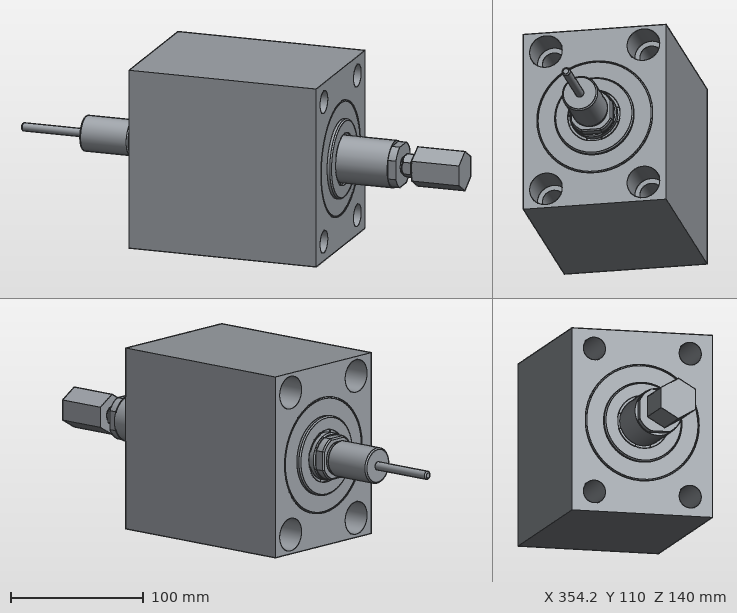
import cadquery as cq
import math


HOUSING_LENGTH = 150.0
HOUSING_WIDTH = 110.0
HOUSING_HEIGHT = 140.0
BOLT_SPACING_Y = 75.0
BOLT_SPACING_Z = 109.8
BOLT_HOLE_DIAMETER = 17.5
COUNTERBORE_DIAMETER = 25.0
COUNTERBORE_DEPTH = 28.5

GLAND_DIAMETER = 89.3
GLAND_DEPTH = 17.7
GLAND_CHAMFER = 1.0
FLANGE_DIAMETER = 61.0
FLANGE_HEIGHT = 3.2
FLANGE_CHAMFER = 1.0
WIPER_DIAMETER = 40.5
WIPER_DEPTH = 1.0
WIPER_SLOT_WIDTH = 11.7
WIPER_SLOT_DEPTH = 2.0

ROD_DIAMETER = 36.0
ROD_LEFT_EXTENSION = 6.7
ROD_RIGHT_EXTENSION = 43.5
COLLAR_CHAMFER = 1.0
FLATS_DIAMETER = 35.0
ACROSS_FLATS = 32.0
LEFT_FLATS_LENGTH = 7.5
RIGHT_FLATS_LENGTH = 6.5
FLATS_CHAMFER = 1.0
UNDERCUT_DIAMETER = 25.5
UNDERCUT_LENGTH = 1.8
THREAD_DIAMETER = 27.3
THREAD_LENGTH = 38.5
THREAD_CHAMFER = 1.0

PIN_DIAMETER = 6.5
PIN_PROTRUSION = 50.3
PIN_CHAMFER = 1.0
FITTING_NECK_DIAMETER = 12.8
LEFT_NECK_LENGTH = 1.5
SMALL_HEX_ACROSS_FLATS = 16.0
SMALL_HEX_LENGTH = 7.5
SMALL_HEX_CHAMFER = 1.8
COUPLING_ACROSS_FLATS = 27.0
COUPLING_LENGTH = 38.0

TOTAL_LENGTH = 354.2

left_flats_start = -ROD_LEFT_EXTENSION - LEFT_FLATS_LENGTH
undercut_start = left_flats_start - UNDERCUT_LENGTH
rod_left_end = undercut_start - THREAD_LENGTH
right_flats_start = HOUSING_LENGTH + ROD_RIGHT_EXTENSION
rod_right_end = right_flats_start + RIGHT_FLATS_LENGTH
pin_left_end = rod_left_end - PIN_PROTRUSION
small_hex_start = rod_right_end + LEFT_NECK_LENGTH
fitting_right_end = pin_left_end + TOTAL_LENGTH
coupling_start = fitting_right_end - COUPLING_LENGTH


def cylinder(start, end, diameter):
    """Round bar along X between two positions."""
    return cq.Workplane("YZ", origin=(start, 0, 0)).circle(diameter / 2).extrude(end - start)


def across_corners(across_flats):
    """Corner-to-corner size of a hexagon."""
    return across_flats / math.cos(math.pi / 6)


def hexagon(start, end, across_flats):
    """Hexagonal bar along X with corners pointing up and down."""
    outline = cq.Workplane("YZ", origin=(start, 0, 0)).polygon(6, across_corners(across_flats))
    bar = outline.extrude(end - start)
    return bar.rotate((0, 0, 0), (1, 0, 0), 90)


def make_housing():
    """Block with four counterbored bolt holes, two gland pockets and the rod bore."""
    left_face = cq.Workplane("YZ").rect(HOUSING_WIDTH, HOUSING_HEIGHT)
    block = left_face.extrude(HOUSING_LENGTH)
    block = (
        block.faces("<X").workplane(origin=(0, 0, 0))
        .rect(BOLT_SPACING_Y, BOLT_SPACING_Z, forConstruction=True).vertices()
        .cboreHole(BOLT_HOLE_DIAMETER, COUNTERBORE_DIAMETER, COUNTERBORE_DEPTH)
    )
    block = block.cut(cylinder(0, HOUSING_LENGTH, ROD_DIAMETER))
    block = block.cut(cylinder(0, GLAND_DEPTH, GLAND_DIAMETER))
    return block.cut(cylinder(HOUSING_LENGTH - GLAND_DEPTH, HOUSING_LENGTH, GLAND_DIAMETER))


def wiper_slot_pair(angle):
    """Cutter for two opposite slots that deepen the wiper recess."""
    bar = cq.Workplane("YZ", origin=(-FLANGE_HEIGHT, 0, 0)).rect(WIPER_SLOT_WIDTH, WIPER_DIAMETER)
    bar = bar.extrude(WIPER_SLOT_DEPTH).rotate((0, 0, 0), (1, 0, 0), angle)
    return bar.intersect(cylinder(-FLANGE_HEIGHT, WIPER_SLOT_DEPTH - FLANGE_HEIGHT, WIPER_DIAMETER))


def make_gland():
    """Left gland: a disc flush with the housing face and a raised flange with a slotted wiper recess."""
    disc = cylinder(0, GLAND_DEPTH, GLAND_DIAMETER).faces("<X").chamfer(GLAND_CHAMFER)
    flange = cylinder(-FLANGE_HEIGHT, 0, FLANGE_DIAMETER).faces("<X").chamfer(FLANGE_CHAMFER)
    rod_bore = cylinder(-FLANGE_HEIGHT, GLAND_DEPTH, ROD_DIAMETER)
    wiper_recess = cylinder(-FLANGE_HEIGHT, WIPER_DEPTH - FLANGE_HEIGHT, WIPER_DIAMETER)
    gland = disc.union(flange).cut(rod_bore).cut(wiper_recess)
    for angle in (0, 90):
        gland = gland.cut(wiper_slot_pair(angle))
    return gland


def wrench_flats(start, end):
    """Round section of the rod with four wrench flats."""
    square = cq.Workplane("YZ", origin=(start, 0, 0)).rect(ACROSS_FLATS, ACROSS_FLATS).extrude(end - start)
    return cylinder(start, end, FLATS_DIAMETER).intersect(square)


def make_rod():
    """Piston rod with wrench flats at both ends, a threaded left end and a through bore for the pin."""
    rod = cylinder(-ROD_LEFT_EXTENSION, right_flats_start, ROD_DIAMETER).faces("<X").chamfer(COLLAR_CHAMFER)
    left_flats = wrench_flats(left_flats_start, -ROD_LEFT_EXTENSION).faces("<X").chamfer(FLATS_CHAMFER)
    right_flats = wrench_flats(right_flats_start, rod_right_end)
    undercut = cylinder(undercut_start, left_flats_start, UNDERCUT_DIAMETER)
    thread = cylinder(rod_left_end, undercut_start, THREAD_DIAMETER).edges("%CIRCLE").chamfer(THREAD_CHAMFER)
    rod = rod.union(left_flats).union(right_flats).union(undercut).union(thread)
    return rod.cut(cylinder(rod_left_end, rod_right_end, PIN_DIAMETER))


def make_pin():
    """Pin with a neck, a small hexagon and a hexagonal coupling on its right end."""
    small_hex_end = small_hex_start + SMALL_HEX_LENGTH
    small_hex = hexagon(small_hex_start, small_hex_end, SMALL_HEX_ACROSS_FLATS)
    rounding = cylinder(small_hex_start, small_hex_end, across_corners(SMALL_HEX_ACROSS_FLATS))
    small_hex = small_hex.intersect(rounding.faces("<X").chamfer(SMALL_HEX_CHAMFER))
    pin = cylinder(pin_left_end, rod_right_end, PIN_DIAMETER).faces("<X").chamfer(PIN_CHAMFER)
    pin = pin.union(cylinder(rod_right_end, coupling_start, FITTING_NECK_DIAMETER))
    coupling = hexagon(coupling_start, fitting_right_end, COUPLING_ACROSS_FLATS)
    return pin.union(small_hex).union(coupling)


housing = make_housing()
left_gland = make_gland()
right_gland = left_gland.mirror("YZ", (HOUSING_LENGTH / 2, 0, 0))
rod = make_rod()
pin = make_pin()

result = cq.Compound.makeCompound(
    [housing.val(), left_gland.val(), right_gland.val(), rod.val(), pin.val()]
)